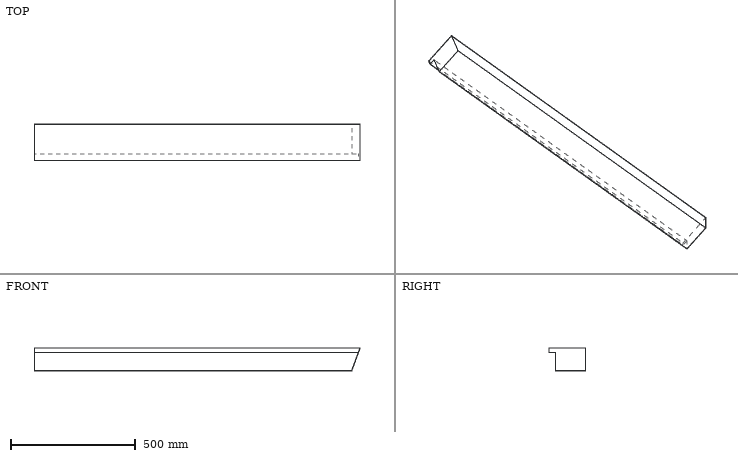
import cadquery as cq

top_length = 1303.67
width = 146.05
height = 92.08

bottom_length = 1270.0

lip_overhang = 25.4
lip_thickness = 19.05


def make_slanted_bar():
    """Full-width bar whose +X end leans outward toward the top."""
    side_outline = [
        (0, 0),
        (bottom_length, 0),
        (top_length, height),
        (0, height),
    ]
    return cq.Workplane("XZ").polyline(side_outline).close().extrude(-width)


def make_rebate():
    """Full-length cut under the lip on the -Y side."""
    return cq.Workplane("XY").box(
        top_length, lip_overhang, height - lip_thickness, centered=False
    )


result = make_slanted_bar().cut(make_rebate())